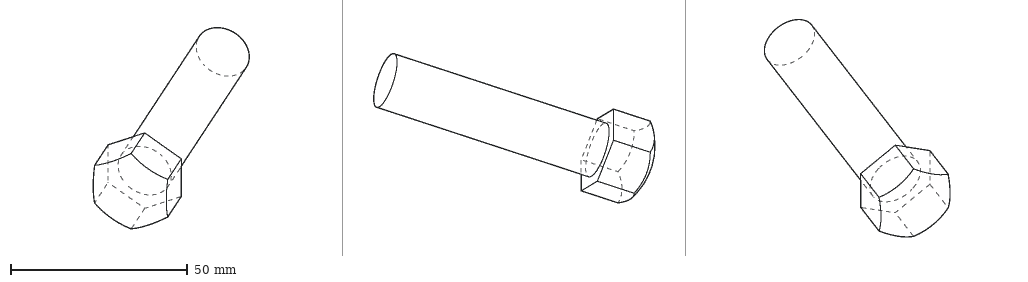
import cadquery as cq
import math

head_sides = 6
across_flats = 22.0
head_height = 16.0
dome_radius = 20.0
shank_diameter = 16.0
shank_length = 66.0

across_corners = across_flats / math.cos(math.pi / head_sides)


def make_head():
    """Hexagonal prism with corners at +Z and -Z, its outer end cut to a spherical dome."""
    corner_up_turn = 90
    prism = (
        cq.Workplane("XZ")
        .transformed(rotate=(0, 0, corner_up_turn))
        .polygon(head_sides, across_corners)
        .extrude(head_height)
    )
    dome_center_y = dome_radius - head_height
    dome = cq.Workplane("XY").sphere(dome_radius).translate((0, dome_center_y, 0))
    return prism.intersect(dome)


def make_shank():
    """Plain cylinder running from the underside of the head toward +Y."""
    return cq.Workplane("XZ").circle(shank_diameter / 2).extrude(-shank_length)


result = make_head().union(make_shank())